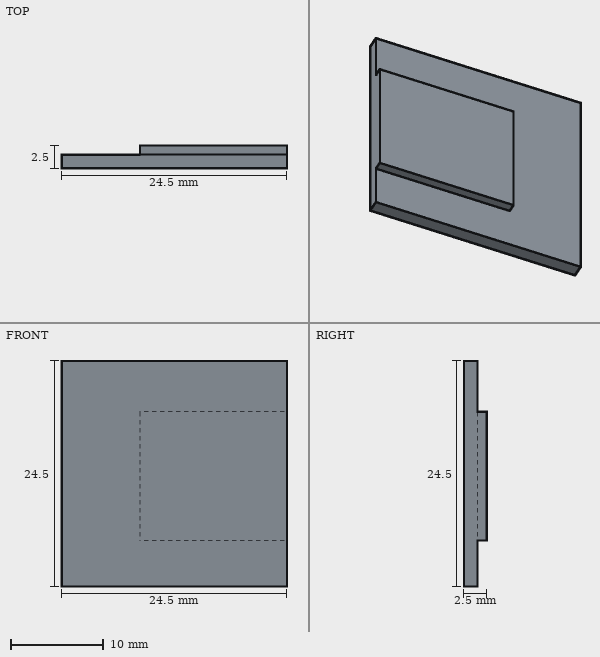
import cadquery as cq

plate_side = 24.5
plate_thickness = 1.5

pad_width = 16.0
pad_height = 14.0
pad_thickness = 1.0
pad_bottom_margin = 5.0

pad_left = plate_side - pad_width

plate = cq.Workplane("XY").box(plate_side, plate_thickness, plate_side, centered=False)

pad = (
    cq.Workplane("XY")
    .box(pad_width, pad_thickness, pad_height, centered=False)
    .translate((pad_left, plate_thickness, pad_bottom_margin))
)

result = plate.union(pad)